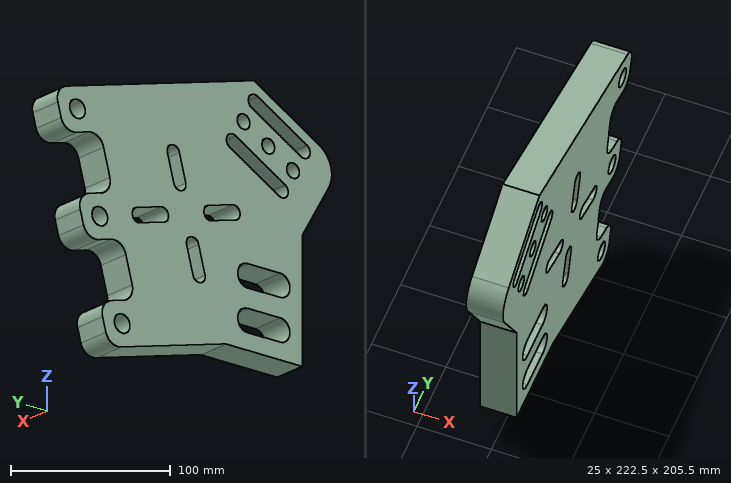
import cadquery as cq
import math

thickness = 25.0
body_tilt = 15
head_tilt = -30

tab_pitch = 70.0
tab_hole_offset = 72.5
tab_hole_diameter = 12.7
tab_margin = 15.1
tab_radius = 10.0

top_edge_length = 167.5
head_edge_length = 81.1
head_radius = 20.0
side_edge_u = 94.3
bottom_edge_v = -79.5

small_slot_width = 10.0
cross_slot_length = 30.0
cross_slot_radius = 30.0

head_u = 66.5
head_v = 61.5
head_hole_pitch = 23.1
head_hole_diameter = 10.2
head_slot_offset = 17.8
head_slot_length = 2 * head_hole_pitch + small_slot_width

wide_slot_length = 42.2
wide_slot_width = 16.2
wide_slot_u = 63.0
wide_slot_v = -44.5
wide_slot_pitch = 30.0

tab_end = -tab_hole_offset - tab_margin
notch_floor = -tab_hole_offset + tab_margin
half_height = tab_pitch + tab_margin
notch_width = tab_pitch - 2 * tab_margin
notch_depth = notch_floor - tab_end

face = cq.Plane(origin=(0, 0, 0), xDir=(0, -1, 0), normal=(-1, 0, 0))
body_plane = face.rotated((0, 0, body_tilt))
head_plane = cq.Plane(
    origin=face.toWorldCoords((head_u, head_v)), xDir=face.xDir, normal=face.zDir
).rotated((0, 0, head_tilt))


def turned(u, v, angle):
    """Rotate a face point about the centre of the slot cross."""
    c = math.cos(math.radians(angle))
    s = math.sin(math.radians(angle))
    return u * c - v * s, u * s + v * c


def outline_points():
    """Sharp-cornered outline, before notches and rounding."""
    tab_top = turned(tab_end, half_height, body_tilt)
    tab_bottom = turned(tab_end, -half_height, body_tilt)
    apex = turned(tab_end + top_edge_length, half_height, body_tilt)
    head_step = turned(head_edge_length, 0, head_tilt)
    head_corner = (apex[0] + head_step[0], apex[1] + head_step[1])
    shoulder_drop = (head_corner[0] - side_edge_u) / math.tan(math.radians(-head_tilt))
    shoulder = (side_edge_u, head_corner[1] - shoulder_drop)
    foot = (side_edge_u, bottom_edge_v)
    bend_u = tab_bottom[0] + (bottom_edge_v - tab_bottom[1]) / math.tan(math.radians(body_tilt))
    return [tab_top, apex, head_corner, shoulder, foot, (bend_u, bottom_edge_v), tab_bottom]


def make_plate():
    points = outline_points()
    head_corner = face.toWorldCoords(points[2]).toTuple()
    plate = cq.Workplane(face).polyline(points).close().extrude(thickness)
    plate = plate.edges("|X").edges(cq.NearestToPointSelector(head_corner)).fillet(head_radius)
    notches = (
        cq.Workplane(body_plane)
        .pushPoints([(tab_end, side * tab_pitch / 2) for side in (-1, 1)])
        .rect(2 * notch_depth, notch_width)
        .extrude(thickness)
    )
    plate = plate.cut(notches)
    tab_side_limit = notch_floor + tab_radius
    return (
        plate.edges("|X")
        .filter(lambda edge: body_plane.toLocalCoords(edge.Center()).x < tab_side_limit)
        .fillet(tab_radius)
    )


def tab_holes():
    centres = [(-tab_hole_offset, row * tab_pitch) for row in (-1, 0, 1)]
    return cq.Workplane(body_plane).pushPoints(centres).circle(tab_hole_diameter / 2).extrude(thickness)


def cross_slots():
    return (
        cq.Workplane(body_plane)
        .polarArray(cross_slot_radius, 0, 360, 4)
        .slot2D(cross_slot_length, small_slot_width)
        .extrude(thickness)
    )


def head_holes():
    centres = [(column * head_hole_pitch, 0) for column in (-1, 0, 1)]
    return cq.Workplane(head_plane).pushPoints(centres).circle(head_hole_diameter / 2).extrude(thickness)


def slot_pair(plane, u, v, offset, length, width):
    """Two parallel slots, each the given offset from the point between them."""
    return (
        cq.Workplane(plane)
        .pushPoints([(u, v - offset), (u, v + offset)])
        .slot2D(length, width)
        .extrude(thickness)
    )


head_slots = slot_pair(head_plane, 0, 0, head_slot_offset, head_slot_length, small_slot_width)
wide_slots = slot_pair(
    face, wide_slot_u, wide_slot_v, wide_slot_pitch / 2, wide_slot_length, wide_slot_width
)

result = make_plate()
for opening in (tab_holes(), cross_slots(), head_holes(), head_slots, wide_slots):
    result = result.cut(opening)